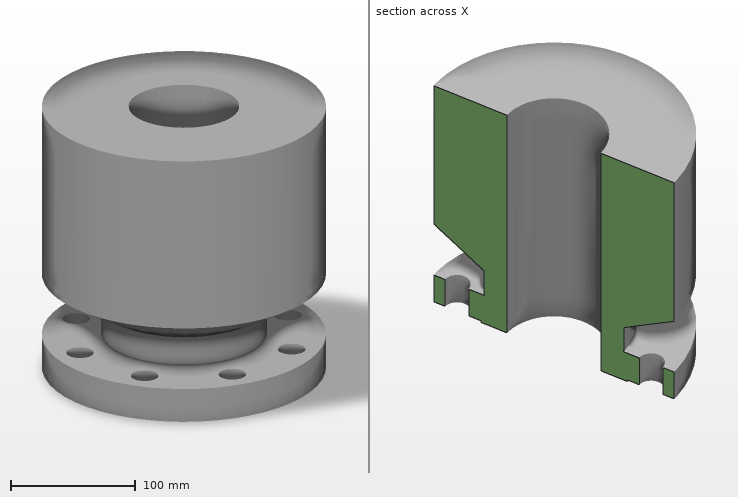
import cadquery as cq

outer_diameter = 228.5
total_height = 228.5
bore_diameter = 89.0

raised_face_diameter = 140.0
raised_face_height = 1.5
flange_top = 30.2

bolt_count = 8
bolt_circle_diameter = 184.3
bolt_hole_diameter = 22.2

neck_diameter = 133.5
neck_foot_diameter = 132.5
neck_foot_height = 0.7
neck_foot_taper_height = 0.57
cone_bottom = 55.3
cone_top = 83.0


def revolved_blank():
    """Solid of revolution about Z: raised face, flange, neck, cone and body."""
    outer_radius = outer_diameter / 2
    neck_radius = neck_diameter / 2
    foot_radius = neck_foot_diameter / 2
    foot_top = flange_top + neck_foot_height
    face_radius = raised_face_diameter / 2
    profile = [
        (0, 0),
        (face_radius, 0),
        (face_radius, raised_face_height),
        (outer_radius, raised_face_height),
        (outer_radius, flange_top),
        (foot_radius, flange_top),
        (foot_radius, foot_top),
        (neck_radius, foot_top + neck_foot_taper_height),
        (neck_radius, cone_bottom),
        (outer_radius, cone_top),
        (outer_radius, total_height),
        (0, total_height),
    ]
    return cq.Workplane("XZ").polyline(profile).close().revolve(360, (0, 0), (0, 1))


def bore():
    """Straight bore through the full height."""
    return cq.Workplane("XY").circle(bore_diameter / 2).extrude(total_height)


def bolt_holes():
    """Ring of holes through the flange only."""
    return (
        cq.Workplane("XY")
        .polarArray(bolt_circle_diameter / 2, 0, 360, bolt_count)
        .circle(bolt_hole_diameter / 2)
        .extrude(flange_top)
    )


result = revolved_blank().cut(bore()).cut(bolt_holes())